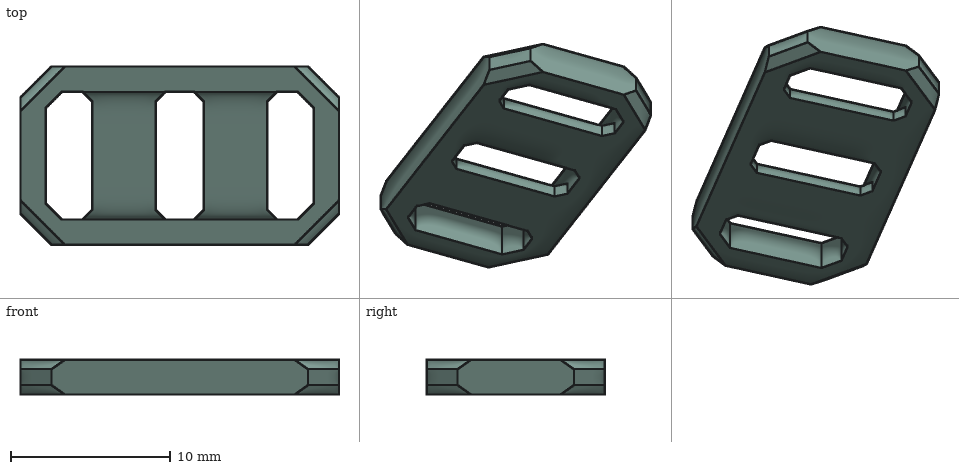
import cadquery as cq

length = 20.0
width = 11.2
height = 2.2
corner_cut = 1.95
edge_chamfer = 0.6

wall = 1.6
window_corner_cut = 1.0
window_length = length - 2 * wall
window_width = width - 2 * wall

bar_width = 4.0
bar_thickness = 0.8
bar_gap = 3.0
bar_flare = 0.6
bar_offset = (bar_gap + bar_width) / 2


def cut_corner_block(size_x, size_y, corner):
    """Full-height block standing on Z = 0 with 45 degree cut vertical corners."""
    block = cq.Workplane("XY").box(size_x, size_y, height, centered=(True, True, False))
    return block.edges("|Z").chamfer(corner)


def bevel_cut_corners(block):
    """Bevel the diagonal edges at the top and bottom of the cut corners."""
    diagonal_edges = block.edges("(not |X) and (not |Y) and (not |Z)")
    return diagonal_edges.chamfer(edge_chamfer)


def crossbar(center_x):
    """Bar spanning the window in Y, flared at both ends."""
    half_width = bar_width / 2
    half_span = window_width / 2
    flared_half_width = half_width + bar_flare
    neck_y = half_span - bar_flare
    outline = [
        (-flared_half_width, -half_span),
        (flared_half_width, -half_span),
        (half_width, -neck_y),
        (half_width, neck_y),
        (flared_half_width, half_span),
        (-flared_half_width, half_span),
        (-half_width, neck_y),
        (-half_width, -neck_y),
    ]
    bar = cq.Workplane("XY").polyline(outline).close().extrude(bar_thickness)
    return bar.translate((center_x, 0, 0))


body = bevel_cut_corners(cut_corner_block(length, width, corner_cut))
window = cut_corner_block(window_length, window_width, window_corner_cut)
result = body.cut(window)

for side in (-1, 1):
    result = result.union(crossbar(side * bar_offset))